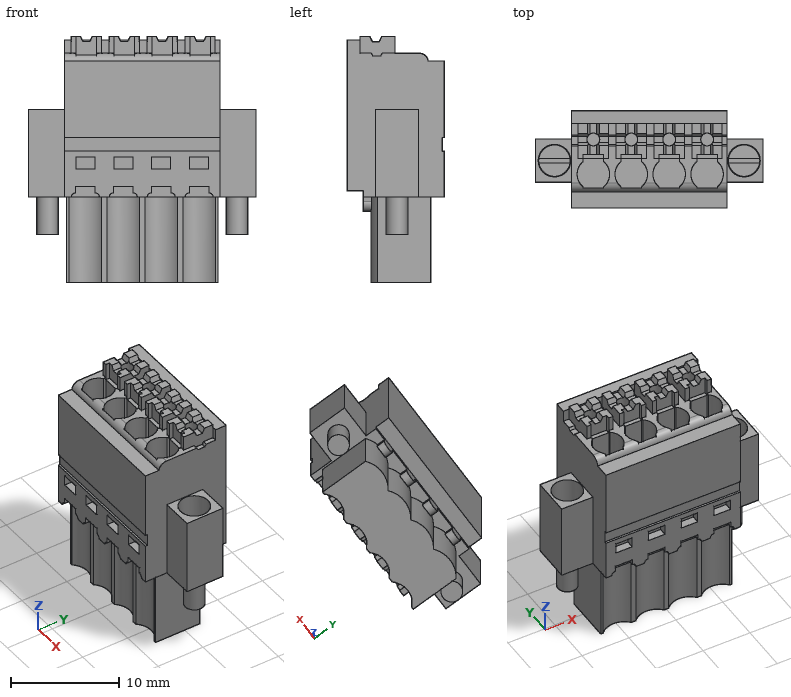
import cadquery as cq
import math


pole_count = 4
pitch = 3.5
pole_xs = [(i - (pole_count - 1) / 2) * pitch for i in range(pole_count)]
clamp_shift = 0.1
clamp_xs = [x + clamp_shift for x in pole_xs]

body_width = 14.35
front_y = -4.38
back_y = 4.6
top_z = 14.5
deck_z = 13.28
shelf_z = 12.55
wall_front_y = 3.43
deck_edge_y = -2.05
shelf_back_y = -2.88
rear_foot_y = 3.13
rear_foot_z = 0.57
band_low_z = 4.25
band_high_z = 5.5
band_depth = 0.2

groove_y = 1.86
groove_half_top = 0.52
groove_half_floor = 0.36
groove_depth = 0.25

overall_width = 21.0
flange_depth = 4.0
flange_height = 8.08
screw_offset = 8.75
screw_xs = [-screw_offset, screw_offset]
bore_radius = 1.5
bore_depth = 4.0

plug_width = pole_count * pitch
plug_length = 7.88
plug_front_y = -3.13
plug_side_back_y = 1.8
plug_back_y = 2.4
scallop_radius = 2.0
scallop_half_chord = 1.5

peg_radius = 0.65
peg_z = -0.65
peg_neck_width = 1.23
peg_root_y = 1.14

front_pocket_depth = 0.8
window_width = 1.75
window_low_z = 2.59
window_high_z = 3.68
notch_width = 1.82
notch_height = 0.98
notch_flare_radius = 0.39

entry_y = -1.25
entry_radius = 1.5
entry_front_y = -2.55
entry_depth = 6.8

lever_width = 2.8
lever_top_z = 14.82
lever_base_z = deck_z - groove_depth
lever_front_y = 0.18
cross_y = 1.95
valley_half_top = 0.55
valley_half_floor = 0.3
valley_depth = 0.5
test_hole_radius = 0.6
test_hole_depth = 1.07
lever_slot_width = 1.88
lever_slot_depth = 0.4

head_radius = 1.45
head_height = 1.0
shank_radius = 1.0
shank_tip_z = -3.45
drive_slot_width = 0.4
drive_slot_depth = 0.5


def box(x_range, y_range, z_range):
    """Axis-aligned block between the given limits."""
    (x0, x1), (y0, y1), (z0, z1) = x_range, y_range, z_range
    return cq.Workplane("XY").box(x1 - x0, y1 - y0, z1 - z0, centered=False).translate((x0, y0, z0))


def centered_range(middle, width):
    return (middle - width / 2, middle + width / 2)


def cylinder(x, y, radius, z_low, z_high):
    """Upright cylinder between two heights."""
    return cq.Workplane("XY", origin=(x, y, z_low)).circle(radius).extrude(z_high - z_low)


def make_housing_body():
    """Side profile in Y and Z, extruded over the width of the block."""
    drop = deck_z - shelf_z
    run = deck_edge_y - shelf_back_y
    round_radius = (run**2 + drop**2) / (2 * drop)
    half_angle = math.asin(run / round_radius) / 2
    round_middle = (
        deck_edge_y - round_radius * math.sin(half_angle),
        deck_z - round_radius * (1 - math.cos(half_angle)),
    )
    return (
        cq.Workplane("YZ", origin=(-body_width / 2, 0, 0))
        .moveTo(front_y, 0)
        .lineTo(front_y, band_low_z)
        .lineTo(front_y + band_depth, band_low_z)
        .lineTo(front_y + band_depth, band_high_z)
        .lineTo(front_y, band_high_z)
        .lineTo(front_y, shelf_z)
        .lineTo(shelf_back_y, shelf_z)
        .threePointArc(round_middle, (deck_edge_y, deck_z))
        .lineTo(groove_y - groove_half_top, deck_z)
        .lineTo(groove_y - groove_half_floor, deck_z - groove_depth)
        .lineTo(groove_y + groove_half_floor, deck_z - groove_depth)
        .lineTo(groove_y + groove_half_top, deck_z)
        .lineTo(wall_front_y, deck_z)
        .lineTo(wall_front_y, top_z)
        .lineTo(back_y, top_z)
        .lineTo(back_y, rear_foot_z)
        .lineTo(rear_foot_y, rear_foot_z)
        .lineTo(rear_foot_y, 0)
        .close()
        .extrude(body_width)
    )


def make_plug():
    """Block below the housing with a concave front and a bulged back at every pole."""
    outline = (
        cq.Workplane("XY")
        .moveTo(-plug_width / 2, plug_front_y)
        .lineTo(plug_width / 2, plug_front_y)
        .lineTo(plug_width / 2, plug_side_back_y)
    )
    for x in reversed(pole_xs):
        outline = outline.threePointArc((x, plug_back_y), (x - pitch / 2, plug_side_back_y))
    plug = outline.close().extrude(-plug_length)
    scallop_y = plug_front_y - math.sqrt(scallop_radius**2 - scallop_half_chord**2)
    for x in pole_xs:
        plug = plug.cut(cylinder(x, scallop_y, scallop_radius, -plug_length, 0))
    return plug


def make_coding_peg(x):
    """Round peg along Y, hung from the housing by a slightly narrower neck."""
    peg_length = rear_foot_y - peg_root_y
    peg = (
        cq.Workplane("XZ", origin=(x, rear_foot_y, peg_z))
        .circle(peg_radius)
        .extrude(peg_length)
    )
    neck = box(centered_range(x, peg_neck_width), (peg_root_y, rear_foot_y), (peg_z, 0))
    return peg.union(neck)


def make_wire_entry(x):
    """Cutter: round hole joined with a flat-ended slot and cut off at the ends of that slot."""
    z_range = (deck_z - entry_depth, deck_z)
    y_range = (entry_front_y, lever_front_y)
    round_hole = cylinder(x, entry_y, entry_radius, *z_range)
    limits = box(centered_range(x, 2 * entry_radius), y_range, z_range)
    flat_hole = box(centered_range(x, lever_slot_width), y_range, z_range)
    return round_hole.intersect(limits).union(flat_hole)


def make_lever_pocket(x):
    """Cutter: shallow seat of a lever in the deck."""
    y_range = (lever_front_y, wall_front_y)
    return box(centered_range(x, lever_width), y_range, (lever_base_z, deck_z))


def make_window(x):
    """Cutter: rectangular pocket in the front face."""
    y_range = (front_y, front_y + front_pocket_depth)
    return box(centered_range(x, window_width), y_range, (window_low_z, window_high_z))


def make_bottom_notch(x):
    """Cutter: notch in the lower front edge, widened at the bottom by quarter-round flares."""
    half = notch_width / 2
    diagonal = notch_flare_radius * math.sqrt(0.5)
    return (
        cq.Workplane("XZ", origin=(x, front_y + front_pocket_depth, 0))
        .moveTo(-half - notch_flare_radius, 0)
        .threePointArc((-half - diagonal, diagonal), (-half, notch_flare_radius))
        .lineTo(-half, notch_height)
        .lineTo(half, notch_height)
        .lineTo(half, notch_flare_radius)
        .threePointArc((half + diagonal, diagonal), (half + notch_flare_radius, 0))
        .close()
        .extrude(front_pocket_depth)
    )


def make_housing():
    flanges = box(
        centered_range(0, overall_width), centered_range(0, flange_depth), (0, flange_height)
    )
    housing = make_housing_body().union(flanges).union(make_plug())
    for x in pole_xs:
        housing = housing.union(make_coding_peg(x))
        housing = housing.cut(make_window(x)).cut(make_bottom_notch(x))
    for x in clamp_xs:
        housing = housing.cut(make_wire_entry(x)).cut(make_lever_pocket(x))
    for x in screw_xs:
        housing = housing.cut(cylinder(x, 0, bore_radius, flange_height - bore_depth, flange_height))
        housing = housing.cut(cylinder(x, 0, shank_radius, 0, flange_height))
    return housing


def make_lever(x):
    """Push lever with two crossing valleys, a test hole and a slot in its front face."""
    valley_z = lever_top_z - valley_depth
    lever = (
        cq.Workplane("YZ", origin=(x - lever_width / 2, 0, 0))
        .moveTo(lever_front_y, lever_base_z)
        .lineTo(wall_front_y, lever_base_z)
        .lineTo(wall_front_y, lever_top_z)
        .lineTo(cross_y + valley_half_top, lever_top_z)
        .lineTo(cross_y + valley_half_floor, valley_z)
        .lineTo(cross_y - valley_half_floor, valley_z)
        .lineTo(cross_y - valley_half_top, lever_top_z)
        .lineTo(lever_front_y, lever_top_z)
        .close()
        .extrude(lever_width)
    )
    long_valley = (
        cq.Workplane("XZ", origin=(x, wall_front_y, 0))
        .moveTo(-valley_half_top, lever_top_z)
        .lineTo(-valley_half_floor, valley_z)
        .lineTo(valley_half_floor, valley_z)
        .lineTo(valley_half_top, lever_top_z)
        .close()
        .extrude(wall_front_y - lever_front_y)
    )
    front_slot = box(
        centered_range(x, lever_slot_width),
        (lever_front_y, lever_front_y + lever_slot_depth),
        (lever_base_z, lever_top_z),
    )
    test_hole = cylinder(x, cross_y, test_hole_radius, valley_z - test_hole_depth, lever_top_z)
    return lever.cut(long_valley).cut(front_slot).cut(test_hole)


def make_screw(x):
    """Slotted screw whose head rests on the floor of the flange bore."""
    seat_z = flange_height - bore_depth
    head_top_z = seat_z + head_height
    head = cylinder(x, 0, head_radius, seat_z, head_top_z)
    shank = cylinder(x, 0, shank_radius, shank_tip_z, seat_z)
    drive_slot = box(
        centered_range(x, 2 * head_radius),
        centered_range(0, drive_slot_width),
        (head_top_z - drive_slot_depth, head_top_z),
    )
    return head.union(shank).cut(drive_slot)


housing = make_housing()
levers = [make_lever(x) for x in clamp_xs]
screws = [make_screw(x) for x in screw_xs]

result = cq.Compound.makeCompound(
    [housing.val()] + [lever.val() for lever in levers] + [screw.val() for screw in screws]
)